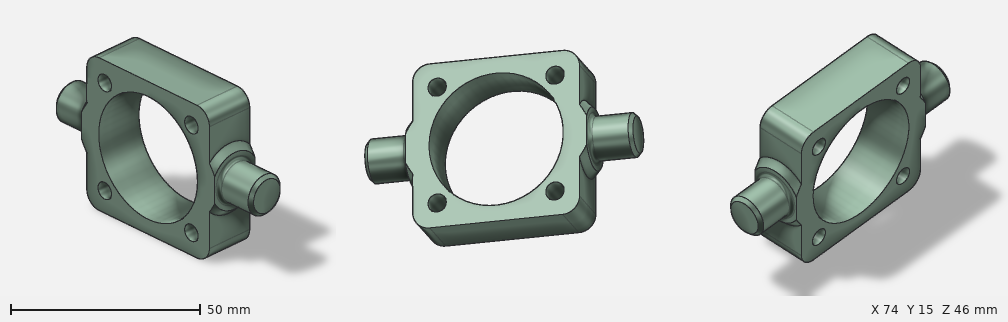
import cadquery as cq

frame_side = 46.0
frame_thickness = 15.0
corner_radius = 4.65
bore_diameter = 37.0
bolt_spacing = 32.5
bolt_hole_diameter = 5.0

trunnion_span = 74.0
pin_diameter = 12.0
pin_chamfer = 1.0
root_fillet = 1.0
boss_height = 2.0
boss_top_radius = 8.5
boss_base_radius = boss_top_radius + boss_height

frame_half = frame_side / 2
pin_radius = pin_diameter / 2
pin_end = trunnion_span / 2
boss_face = frame_half + boss_height
embed_depth = 1.5


def make_frame():
    """Rounded square block."""
    block = cq.Workplane().box(frame_side, frame_thickness, frame_side)
    return block.edges("|Y").fillet(corner_radius)


def make_trunnion():
    """Pin, concave root fillet and conical boss, revolved about +X."""
    root_start = boss_face + root_fillet
    root_top = pin_radius + root_fillet
    arc_offset = root_fillet * (1 - 0.5**0.5)
    start = frame_half - embed_depth
    revolved = (
        cq.Workplane("XZ")
        .moveTo(start, 0)
        .lineTo(start, boss_base_radius)
        .lineTo(frame_half, boss_base_radius)
        .lineTo(boss_face, boss_top_radius)
        .lineTo(boss_face, root_top)
        .threePointArc((boss_face + arc_offset, pin_radius + arc_offset), (root_start, pin_radius))
        .lineTo(pin_end - pin_chamfer, pin_radius)
        .lineTo(pin_end, pin_radius - pin_chamfer)
        .lineTo(pin_end, 0)
        .close()
        .revolve(360, (0, 0, 0), (1, 0, 0))
    )
    return revolved.intersect(cq.Workplane().box(trunnion_span, frame_thickness, frame_side))


def make_through_holes():
    """Cutters for the central bore and the four bolt holes."""
    back_face = cq.Workplane("XZ", origin=(0, frame_thickness / 2, 0))
    bore = back_face.circle(bore_diameter / 2).extrude(frame_thickness)
    bolt_holes = (
        back_face.rarray(bolt_spacing, bolt_spacing, 2, 2)
        .circle(bolt_hole_diameter / 2)
        .extrude(frame_thickness)
    )
    return bore.union(bolt_holes)


trunnion = make_trunnion()
result = make_frame().union(trunnion).union(trunnion.mirror("YZ")).cut(make_through_holes())